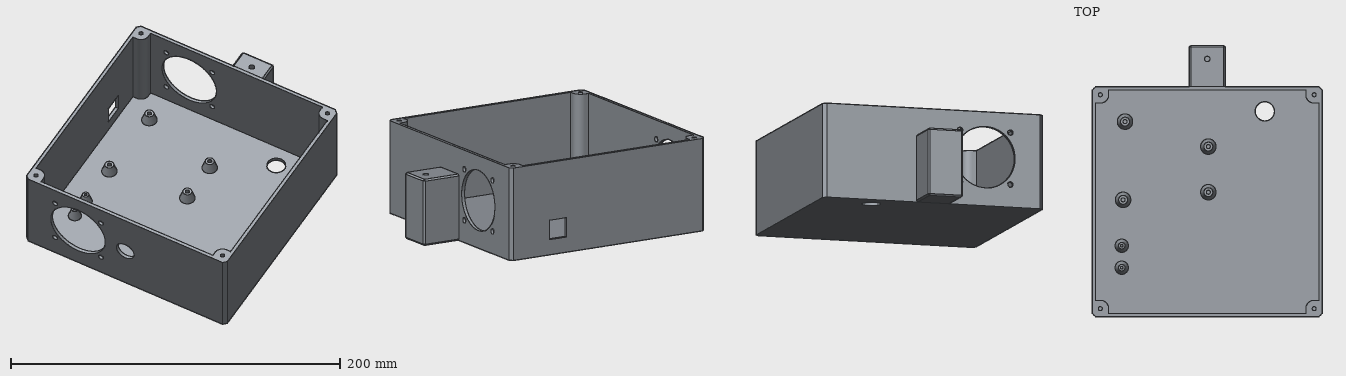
import cadquery as cq

WIDTH = 140.0
DEPTH = 140.0
HEIGHT = 58.0
WALL = 2.1
FLOOR = 2.1
CORNER_CHAMFER = 2.1

POST_INSET = 5.0
POST_RADIUS = 5.1
POST_HOLE_DIAMETER = 2.5
POST_HOLE_DEPTH = 9.9

FAN_X = 37.0
FAN_Z = 30.0
FAN_DIAMETER = 38.0
FAN_SCREW_SPACING = 32.0
FAN_SCREW_DIAMETER = 3.3

FRONT_HOLE_DIAMETER = 12.2
FRONT_HOLE_Z = 29.5
WINDOW_SIZE = 12.2
WINDOW_Y = 105.8
WINDOW_Z = 15.7
FLOOR_HOLE_DIAMETER = 11.5
FLOOR_HOLE_X = 105.0
FLOOR_HOLE_Y = 124.9

STANDOFF_HEIGHT = 6.1
LARGE_BASE_DIAMETER = 9.4
LARGE_TOP_DIAMETER = 5.5
LARGE_BORE_DIAMETER = 2.5
LARGE_STANDOFFS = [(20.0, 118.6), (18.8, 71.1), (70.6, 103.5), (70.6, 75.7)]
SMALL_BASE_DIAMETER = 8.1
SMALL_TOP_DIAMETER = 4.0
SMALL_BORE_DIAMETER = 1.6
SMALL_STANDOFFS = [(18.0, 43.2), (18.0, 29.9)]

TOTAL_LENGTH = 165.0
BLOCK_LENGTH = TOTAL_LENGTH - DEPTH
BLOCK_WIDTH = 22.0
BLOCK_HEIGHT = 41.5
BLOCK_CHAMFER = 1.0
BLOCK_HOLE_DIAMETER = 3.3
BLOCK_HOLE_DEPTH = 9.9
BLOCK_HOLE_FROM_END = 8.2

CENTER_X = WIDTH / 2
CENTER_Y = DEPTH / 2


def box_shell():
    """Square box with chamfered vertical edges and an open cavity."""
    outside = cq.Workplane("XY").box(WIDTH, DEPTH, HEIGHT, centered=False)
    outside = outside.edges("|Z").chamfer(CORNER_CHAMFER)
    cavity = (
        cq.Workplane("XY", origin=(CENTER_X, CENTER_Y, FLOOR))
        .rect(WIDTH - 2 * WALL, DEPTH - 2 * WALL)
        .extrude(HEIGHT - FLOOR)
    )
    return outside.cut(cavity)


def corner_post():
    """Post for the corner at the origin, squared into both walls and rounded inwards."""
    reach = POST_INSET + POST_RADIUS
    inside_wall = WALL / 2
    return (
        cq.Workplane("XY")
        .moveTo(CORNER_CHAMFER, inside_wall)
        .lineTo(reach, inside_wall)
        .lineTo(reach, POST_INSET)
        .radiusArc((POST_INSET, reach), -POST_RADIUS)
        .lineTo(inside_wall, reach)
        .lineTo(inside_wall, CORNER_CHAMFER)
        .close()
        .extrude(HEIGHT)
    )


def wall_cutter(x, z, diameter, length):
    """Cylinder along +Y that starts at the outer face of the front wall."""
    cylinder = cq.Solid.makeCylinder(diameter / 2, length, cq.Vector(x, 0, z), cq.Vector(0, 1, 0))
    return cq.Workplane(cylinder)


def standoff(base_diameter, top_diameter, bore_diameter):
    """Cone on the floor with a bore as deep as the cone is high."""
    cone = cq.Solid.makeCone(base_diameter / 2, top_diameter / 2, STANDOFF_HEIGHT)
    bore = cq.Solid.makeCylinder(bore_diameter / 2, STANDOFF_HEIGHT)
    return cq.Workplane(cone.cut(bore))


def make_housing():
    body = box_shell()

    post = corner_post()
    front_posts = post.union(post.mirror("YZ", (CENTER_X, 0, 0)))
    body = body.union(front_posts).union(front_posts.mirror("XZ", (0, CENTER_Y, 0)))
    post_holes = (
        cq.Workplane("XY", origin=(CENTER_X, CENTER_Y, HEIGHT))
        .rect(WIDTH - 2 * POST_INSET, DEPTH - 2 * POST_INSET, forConstruction=True)
        .vertices()
        .circle(POST_HOLE_DIAMETER / 2)
        .extrude(-POST_HOLE_DEPTH)
    )
    body = body.cut(post_holes)

    body = body.cut(wall_cutter(FAN_X, FAN_Z, FAN_DIAMETER, DEPTH))
    offset = FAN_SCREW_SPACING / 2
    for x in (FAN_X - offset, FAN_X + offset):
        for z in (FAN_Z - offset, FAN_Z + offset):
            body = body.cut(wall_cutter(x, z, FAN_SCREW_DIAMETER, DEPTH))

    body = body.cut(wall_cutter(CENTER_X, FRONT_HOLE_Z, FRONT_HOLE_DIAMETER, WALL))

    window = cq.Workplane("XY").box(WALL, WINDOW_SIZE, WINDOW_SIZE)
    body = body.cut(window.translate((WALL / 2, WINDOW_Y, WINDOW_Z)))

    floor_hole = cq.Workplane("XY").circle(FLOOR_HOLE_DIAMETER / 2).extrude(FLOOR)
    body = body.cut(floor_hole.translate((FLOOR_HOLE_X, FLOOR_HOLE_Y, 0)))

    large = standoff(LARGE_BASE_DIAMETER, LARGE_TOP_DIAMETER, LARGE_BORE_DIAMETER)
    small = standoff(SMALL_BASE_DIAMETER, SMALL_TOP_DIAMETER, SMALL_BORE_DIAMETER)
    for pattern, places in ((large, LARGE_STANDOFFS), (small, SMALL_STANDOFFS)):
        for x, y in places:
            body = body.union(pattern.translate((x, y, FLOOR)))
    return body


def make_mounting_block():
    """Block with every edge chamfered except those on the face against the housing."""
    block = (
        cq.Workplane("XY")
        .box(BLOCK_WIDTH, BLOCK_LENGTH, BLOCK_HEIGHT, centered=(True, False, False))
        .translate((CENTER_X, DEPTH, 0))
    )
    block = block.edges("|Y or >Y").chamfer(BLOCK_CHAMFER)
    hole = (
        cq.Workplane("XY", origin=(CENTER_X, TOTAL_LENGTH - BLOCK_HOLE_FROM_END, BLOCK_HEIGHT))
        .circle(BLOCK_HOLE_DIAMETER / 2)
        .extrude(-BLOCK_HOLE_DEPTH)
    )
    return block.cut(hole)


housing = make_housing()
mounting_block = make_mounting_block()

result = cq.Compound.makeCompound([housing.val(), mounting_block.val()])